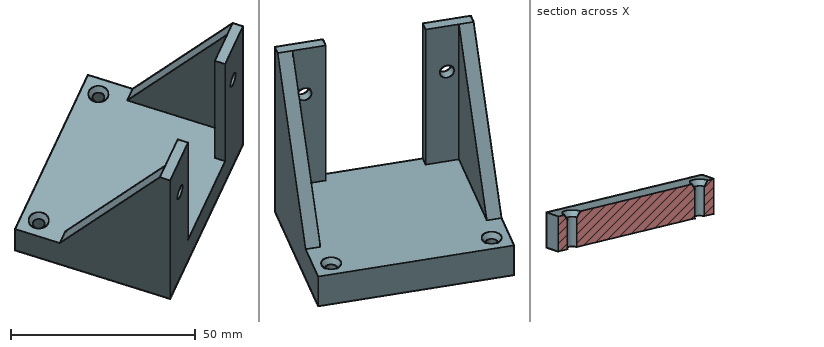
import cadquery as cq

length = 45.0
width = 55.0
height = 55.3

base_thickness = 10.0
upright_thickness = 3.0
upright_width = 13.5
gusset_thickness = 4.15
gusset_setback = 13.0

screw_diameter = 3.2
countersink_diameter = 5.5
countersink_angle = 72
screw_inset = 5.0

mount_diameter = 4.0
mount_spacing = 40.0
mount_drop = 15.25


def make_base():
    return cq.Workplane("XY").box(length, width, base_thickness, centered=(False, True, False))


def make_side(side):
    """Upright and sloped gusset at one side; side is -1 or +1 along Y."""
    upright = (
        cq.Workplane("XY")
        .box(upright_thickness, upright_width, height, centered=(False, True, False))
        .translate((length - upright_thickness, side * (width - upright_width) / 2, 0))
    )
    gusset = (
        cq.Workplane("XZ")
        .moveTo(gusset_setback, 0)
        .lineTo(gusset_setback, base_thickness)
        .lineTo(length - upright_thickness, height)
        .lineTo(length, height)
        .lineTo(length, 0)
        .close()
        .extrude(gusset_thickness / 2, both=True)
        .translate((0, side * (width - gusset_thickness) / 2, 0))
    )
    return upright.union(gusset)


def drill_base(body):
    screw_y = width / 2 - screw_inset
    return (
        body.copyWorkplane(cq.Workplane("XY", origin=(0, 0, base_thickness)))
        .pushPoints([(screw_inset, -screw_y), (screw_inset, screw_y)])
        .cskHole(screw_diameter, countersink_diameter, countersink_angle, depth=base_thickness)
    )


def make_mount_holes():
    return (
        cq.Workplane("YZ", origin=(length - upright_thickness, 0, height - mount_drop))
        .pushPoints([(-mount_spacing / 2, 0), (mount_spacing / 2, 0)])
        .circle(mount_diameter / 2)
        .extrude(upright_thickness)
    )


body = make_base()
for side in (-1, 1):
    body = body.union(make_side(side))

result = drill_base(body).cut(make_mount_holes())